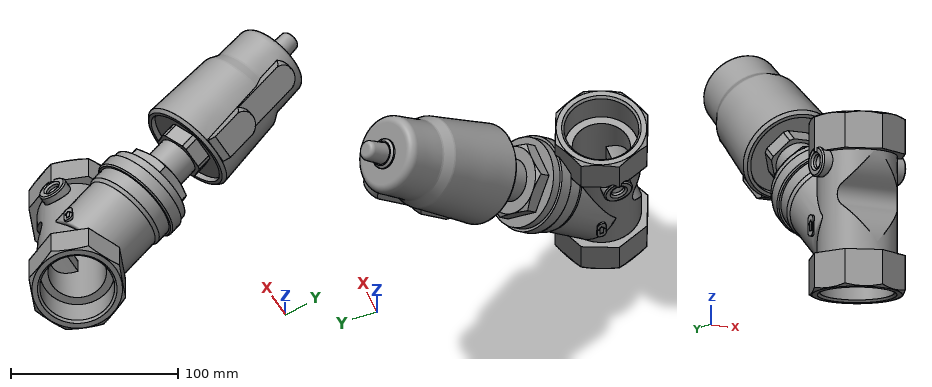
import cadquery as cq
import math

BODY_LENGTH = 107.0
PIPE_DIAMETER = 48.2
BORE_DIAMETER = 35.0
SOCKET_FLATS = 55.0
SOCKET_LENGTH = 22.6
SOCKET_SIDES = 8
SOCKET_CHAMFER_ANGLE = 30.0
SOCKET_FACE_DIAMETER = 54.2
THREAD_DIAMETER = 44.84
THREAD_DEPTH = 20.0
THREAD_CHAMFER = 1.4

WAIST_CENTRE_Z = 57.35
WAIST_HALF_LENGTH = 29.05
WAIST_DEPTH_Y = -11.9
WAIST_SHOULDER_RADIUS = 31.0
WAIST_WALL = 3.1
SHOULDER_CENTRE_Y = WAIST_SHOULDER_RADIUS - PIPE_DIAMETER / 2

PORT_Z = 78.6
PORT_DIAMETER = 18.2
PORT_REACH = 29.0
PORT_CHAMFER = 0.9
PORT_HOLE_DIAMETER = 8.57
PORT_SINK_DIAMETER = 11.0
PORT_HOLE_DEPTH = 3.0
DRILL_POINT_ANGLE = 118.0

MARK_Y = 10.0
MARK_Z = 41.4
MARK_LENGTH = 13.0
MARK_WIDTH = 5.8
MARK_REACH = 26.6
ARROW_LENGTH = 6.6
ARROW_HEAD_WIDTH = 4.0
ARROW_SHAFT_WIDTH = 2.2
ARROW_HEAD_LENGTH = 2.6
ARROW_DEPTH = 0.3

AXIS_START_Z = 33.8
AXIS_ELEVATION = 40.0

ARM_START = 6.6
ARM_DIAMETER = 51.7
ARM_END_FILLET = 1.6
COLLAR_DIAMETER = 54.0
COLLAR_START = 44.0
COLLAR_TAPER_LENGTH = 2.4
FLANGE_DIAMETER = 58.4
FLANGE_START = 53.8
RING_DIAMETER = 55.0
RING_START = 61.5
RING_END = 67.0
STEP_CHAMFER = 0.9

HEX_FLATS = 41.0
HEX_END = 75.2
HEX_CHAMFER_HEIGHT = 1.5
HEX_SIDES = 6
NECK_DIAMETER = 26.0
NUT_FLATS = 30.0
NUT_CORNER_DIAMETER = 33.0
NUT_START = 93.2

HOUSING_START = 99.5
HOUSING_BASE_RADIUS = 29.0
HOUSING_MAX_RADIUS = 30.795
HOUSING_MAX_STATION = 101.6
SHOULDER_START = 149.4
SHOULDER_RADIUS = 28.0
SHOULDER_END = 156.2
CAP_RADIUS = 24.6
CAP_END_RADIUS = 23.8
HOUSING_END = 181.8
CAP_FILLET = 4.9
SHOULDER_FILLET = 2.8
EDGE_SEARCH_MARGIN = 1.0
RECESS_DIAMETER = 53.6
RECESS_DEPTH = 3.5

SEAL_DIAMETER = 18.2
SEAL_TOP_DIAMETER = 15.0
SEAL_RIM_HEIGHT = 1.0
SEAL_HEIGHT = 2.2
INDICATOR_BASE_DIAMETER = 13.4
INDICATOR_TOP_DIAMETER = 11.8
INDICATOR_END = 197.53
INDICATOR_FILLET = 2.7

PAD_WIDTH = 17.0
PAD_TIP_RADIUS = 8.7
PAD_TAPER = 0.35
LOWER_PAD_DROP = 34.0
LOWER_PAD_CENTRE = 124.5
UPPER_PAD_DROP = 29.0
UPPER_PAD_CENTRE = 165.0
PAD_BASE_CHAMFER_LENGTH = 4.0
PAD_BASE_CHAMFER_DROP = 3.2


def across_corners(flats, sides):
    return flats / math.cos(math.pi / sides)


def revolve_profile(profile):
    """Turn a profile drawn as (radius, height) about the Z axis."""
    return profile.close().revolve(360, (0, 0, 0), (0, 1, 0))


def cylinder(diameter, start, end):
    return cq.Workplane("XY").workplane(offset=start).circle(diameter / 2).extrude(end - start)


def prism(flats, sides, start, end):
    """Regular prism along Z with one corner on +X."""
    corners = across_corners(flats, sides)
    return cq.Workplane("XY").workplane(offset=start).polygon(sides, corners).extrude(end - start)


def corner_cone(face_diameter, height, angle):
    """Cone frustum that narrows to the face diameter at the top, for chamfering prism corners."""
    base_radius = face_diameter / 2 + height / math.tan(math.radians(angle))
    profile = (
        cq.Workplane("XZ")
        .lineTo(base_radius, 0)
        .lineTo(face_diameter / 2, height)
        .lineTo(0, height)
    )
    return revolve_profile(profile)


def on_inclined_axis(shape):
    """Move a shape built along Z so that Z becomes the inclined axis."""
    tilted = shape.rotate((0, 0, 0), (1, 0, 0), AXIS_ELEVATION - 90)
    return tilted.translate((0, 0, AXIS_START_Z))


def both_sides(shape):
    return shape.union(shape.mirror("YZ"))


def shoulder_arc(radius, end_y):
    """Half height where an arc about the shoulder centre reaches end_y, and the arc's middle point.

    The heights are measured from the waist centre; the arc starts level with its own centre.
    """
    angle = math.acos((end_y - SHOULDER_CENTRE_Y) / radius)
    end_z = WAIST_HALF_LENGTH - radius * math.sin(angle)
    middle_angle = (angle + math.pi) / 2
    middle_y = SHOULDER_CENTRE_Y + radius * math.cos(middle_angle)
    middle_z = WAIST_HALF_LENGTH - radius * math.sin(middle_angle)
    return end_z, (middle_y, middle_z)


def hollow_start(radius):
    """Start a profile in the YZ plane and draw its outside edge up to the lower shoulder arc."""
    outside_y = -PIPE_DIAMETER
    return (
        cq.Workplane("YZ", origin=(0, 0, WAIST_CENTRE_Z))
        .moveTo(outside_y, WAIST_HALF_LENGTH)
        .lineTo(outside_y, -WAIST_HALF_LENGTH)
        .lineTo(SHOULDER_CENTRE_Y - radius, -WAIST_HALF_LENGTH)
    )


def waist():
    """Prism along X that hollows the pipe: a concave throat between two convex shoulders."""
    radius = WAIST_SHOULDER_RADIUS
    gap = SHOULDER_CENTRE_Y - WAIST_DEPTH_Y
    throat = (radius ** 2 - gap ** 2 - WAIST_HALF_LENGTH ** 2) / (2 * (gap - radius))
    throat_y = WAIST_DEPTH_Y - throat
    join_y = SHOULDER_CENTRE_Y + (throat_y - SHOULDER_CENTRE_Y) * radius / (radius + throat)
    join_z, (middle_y, middle_z) = shoulder_arc(radius, join_y)
    return (
        hollow_start(radius)
        .threePointArc((middle_y, -middle_z), (join_y, -join_z))
        .threePointArc((WAIST_DEPTH_Y, 0), (join_y, join_z))
        .threePointArc((middle_y, middle_z), (SHOULDER_CENTRE_Y - radius, WAIST_HALF_LENGTH))
        .close()
        .extrude(PIPE_DIAMETER, both=True)
    )


def sill():
    """Prism along X that the bore leaves standing behind the waist, with a flat crest."""
    radius = WAIST_SHOULDER_RADIUS - WAIST_WALL
    crest_y = WAIST_DEPTH_Y + WAIST_WALL
    crest_z, (middle_y, middle_z) = shoulder_arc(radius, crest_y)
    return (
        hollow_start(radius)
        .threePointArc((middle_y, -middle_z), (crest_y, -crest_z))
        .lineTo(crest_y, crest_z)
        .threePointArc((middle_y, middle_z), (SHOULDER_CENTRE_Y - radius, WAIST_HALF_LENGTH))
        .close()
        .extrude(PIPE_DIAMETER, both=True)
    )


def socket():
    """Octagonal socket whose chamfered face is at the top, at Z = socket length."""
    block = prism(SOCKET_FLATS, SOCKET_SIDES, 0, SOCKET_LENGTH)
    return block.intersect(corner_cone(SOCKET_FACE_DIAMETER, SOCKET_LENGTH, SOCKET_CHAMFER_ANGLE))


def socket_thread():
    """Threaded hole of a socket, with a lead-in chamfer at the top."""
    thread = cylinder(THREAD_DIAMETER, SOCKET_LENGTH - THREAD_DEPTH, SOCKET_LENGTH)
    mouth = THREAD_DIAMETER / 2 + THREAD_CHAMFER
    lead_in = (
        cq.Workplane("XZ")
        .moveTo(0, SOCKET_LENGTH)
        .lineTo(mouth, SOCKET_LENGTH)
        .lineTo(mouth - THREAD_CHAMFER, SOCKET_LENGTH - THREAD_CHAMFER)
        .lineTo(0, SOCKET_LENGTH - THREAD_CHAMFER)
    )
    return thread.union(revolve_profile(lead_in))


def at_both_ends(shape):
    upper = shape.translate((0, 0, BODY_LENGTH - SOCKET_LENGTH))
    lower = shape.mirror("XY").translate((0, 0, SOCKET_LENGTH))
    return upper.union(lower)


def flow_passage():
    bore = cylinder(BORE_DIAMETER, 0, BODY_LENGTH).cut(sill())
    return bore.union(at_both_ends(socket_thread()))


def side_port():
    """Round boss on the -X side."""
    boss = cq.Workplane("YZ", origin=(0, 0, PORT_Z)).circle(PORT_DIAMETER / 2).extrude(-PORT_REACH)
    return boss.faces("<X").chamfer(PORT_CHAMFER)


def side_port_hole():
    """Countersunk blind hole with a drill point, on the -X side."""
    hole_radius = PORT_HOLE_DIAMETER / 2
    sink_radius = PORT_SINK_DIAMETER / 2
    point_depth = hole_radius / math.tan(math.radians(DRILL_POINT_ANGLE / 2))
    profile = (
        cq.Workplane("XZ")
        .lineTo(sink_radius, 0)
        .lineTo(hole_radius, hole_radius - sink_radius)
        .lineTo(hole_radius, -PORT_HOLE_DEPTH)
        .lineTo(0, -PORT_HOLE_DEPTH - point_depth)
    )
    hole = revolve_profile(profile).rotate((0, 0, 0), (0, 1, 0), -90)
    return hole.translate((-PORT_REACH, 0, PORT_Z))


def flow_mark():
    """Raised tablet on the -X side with an arrow that points to +Z."""
    tablet = (
        cq.Workplane("YZ", origin=(0, MARK_Y, MARK_Z))
        .slot2D(MARK_LENGTH, MARK_WIDTH, 90)
        .extrude(-MARK_REACH)
    )
    tip_z = ARROW_LENGTH / 2
    head_z = tip_z - ARROW_HEAD_LENGTH
    arrow = (
        cq.Workplane("YZ", origin=(-MARK_REACH, MARK_Y, MARK_Z))
        .moveTo(0, tip_z)
        .lineTo(ARROW_HEAD_WIDTH / 2, head_z)
        .lineTo(ARROW_SHAFT_WIDTH / 2, head_z)
        .lineTo(ARROW_SHAFT_WIDTH / 2, -tip_z)
        .lineTo(-ARROW_SHAFT_WIDTH / 2, -tip_z)
        .lineTo(-ARROW_SHAFT_WIDTH / 2, head_z)
        .lineTo(-ARROW_HEAD_WIDTH / 2, head_z)
        .close()
        .extrude(ARROW_DEPTH)
    )
    return tablet.cut(arrow)


def bonnet_arm():
    """Stepped round arm from the pipe out to the bonnet hexagon."""
    arm_radius = ARM_DIAMETER / 2
    collar_radius = COLLAR_DIAMETER / 2
    flange_radius = FLANGE_DIAMETER / 2
    ring_radius = RING_DIAMETER / 2
    profile = (
        cq.Workplane("XZ")
        .moveTo(0, ARM_START)
        .lineTo(arm_radius - ARM_END_FILLET, ARM_START)
        .radiusArc((arm_radius, ARM_START + ARM_END_FILLET), -ARM_END_FILLET)
        .lineTo(arm_radius, COLLAR_START - COLLAR_TAPER_LENGTH)
        .lineTo(collar_radius, COLLAR_START)
        .lineTo(collar_radius, FLANGE_START - STEP_CHAMFER)
        .lineTo(flange_radius - STEP_CHAMFER, FLANGE_START - STEP_CHAMFER)
        .lineTo(flange_radius, FLANGE_START)
        .lineTo(flange_radius, RING_START)
        .lineTo(ring_radius, RING_START)
        .lineTo(ring_radius, RING_END)
        .lineTo(0, RING_END)
    )
    return revolve_profile(profile)


def bonnet_hexagon():
    height = HEX_END - RING_END
    cone_angle = math.degrees(math.atan2(
        HEX_CHAMFER_HEIGHT, (across_corners(HEX_FLATS, HEX_SIDES) - HEX_FLATS) / 2))
    cone = corner_cone(HEX_FLATS, height, cone_angle).translate((0, 0, RING_END))
    return prism(HEX_FLATS, HEX_SIDES, RING_END, HEX_END).intersect(cone)


def neck_and_nut():
    nut_end = HOUSING_START + RECESS_DEPTH
    neck = cylinder(NECK_DIAMETER, RING_END, nut_end)
    nut = prism(NUT_FLATS, HEX_SIDES, NUT_START, nut_end)
    return neck.union(nut.intersect(cylinder(NUT_CORNER_DIAMETER, NUT_START, nut_end)))


def housing():
    """Tapered actuator housing with a stepped shoulder and a rounded top."""
    profile = (
        cq.Workplane("XZ")
        .moveTo(0, HOUSING_START)
        .lineTo(HOUSING_BASE_RADIUS, HOUSING_START)
        .lineTo(HOUSING_MAX_RADIUS, HOUSING_MAX_STATION)
        .lineTo(SHOULDER_RADIUS, SHOULDER_START)
        .lineTo(CAP_RADIUS, SHOULDER_END)
        .lineTo(CAP_END_RADIUS, HOUSING_END)
        .lineTo(0, HOUSING_END)
    )
    body = revolve_profile(profile)
    body = body.faces(">Z").edges().fillet(CAP_FILLET)
    shoulder_edges = cq.selectors.BoxSelector(
        (-HOUSING_MAX_RADIUS, -HOUSING_MAX_RADIUS, SHOULDER_START - EDGE_SEARCH_MARGIN),
        (HOUSING_MAX_RADIUS, HOUSING_MAX_RADIUS, SHOULDER_END + EDGE_SEARCH_MARGIN),
        boundingbox=True)
    return body.edges(shoulder_edges).edges("%CIRCLE").fillet(SHOULDER_FILLET)


def base_recess():
    return cylinder(RECESS_DIAMETER, HOUSING_START, HOUSING_START + RECESS_DEPTH)


def indicator():
    """Seal ring and tapered, round-nosed indicator on top of the housing."""
    seal_top = HOUSING_END + SEAL_HEIGHT
    profile = (
        cq.Workplane("XZ")
        .moveTo(0, HOUSING_END)
        .lineTo(SEAL_DIAMETER / 2, HOUSING_END)
        .lineTo(SEAL_DIAMETER / 2, HOUSING_END + SEAL_RIM_HEIGHT)
        .lineTo(SEAL_TOP_DIAMETER / 2, seal_top)
        .lineTo(INDICATOR_BASE_DIAMETER / 2, seal_top)
        .lineTo(INDICATOR_TOP_DIAMETER / 2, INDICATOR_END)
        .lineTo(0, INDICATOR_END)
    )
    return revolve_profile(profile).faces(">Z").edges().fillet(INDICATOR_FILLET)


def pad_block(drop, length):
    """Block that hangs from the housing axis, which is local +Y, starting at the housing base."""
    block = cq.Workplane("XY").box(PAD_WIDTH, drop, length, centered=(True, False, False))
    return block.translate((0, 0, HOUSING_MAX_STATION))


def air_pad(centre, drop):
    """Pad under the housing: flat sides, and a conical end around the centre station."""
    root_radius = PAD_TIP_RADIUS + PAD_TAPER * drop
    length = centre - HOUSING_MAX_STATION
    cone = revolve_profile(
        cq.Workplane("XZ").lineTo(root_radius, 0).lineTo(PAD_TIP_RADIUS, drop).lineTo(0, drop))
    cone = cone.rotate((0, 0, 0), (1, 0, 0), -90).translate((0, 0, centre))
    conical_end = cone.intersect(pad_block(drop, length + root_radius))
    return pad_block(drop, length).union(conical_end)


def air_pads():
    lower = air_pad(LOWER_PAD_CENTRE, LOWER_PAD_DROP)
    upper = air_pad(UPPER_PAD_CENTRE, UPPER_PAD_DROP)
    corner = (
        cq.Workplane("YZ")
        .moveTo(LOWER_PAD_DROP, HOUSING_MAX_STATION)
        .lineTo(LOWER_PAD_DROP, HOUSING_MAX_STATION + PAD_BASE_CHAMFER_LENGTH)
        .lineTo(LOWER_PAD_DROP - PAD_BASE_CHAMFER_DROP, HOUSING_MAX_STATION)
        .close()
        .extrude(PAD_WIDTH, both=True)
    )
    return lower.union(upper).cut(corner)


bonnet = bonnet_arm().union(bonnet_hexagon())
actuator = housing().union(air_pads()).cut(base_recess()).union(neck_and_nut()).union(indicator())

valve_body = cylinder(PIPE_DIAMETER, 0, BODY_LENGTH).cut(waist())
valve_body = valve_body.union(on_inclined_axis(bonnet))
valve_body = valve_body.union(at_both_ends(socket()))
valve_body = valve_body.union(both_sides(side_port())).union(both_sides(flow_mark()))
valve_body = valve_body.cut(flow_passage()).cut(both_sides(side_port_hole()))

result = valve_body.union(on_inclined_axis(actuator))